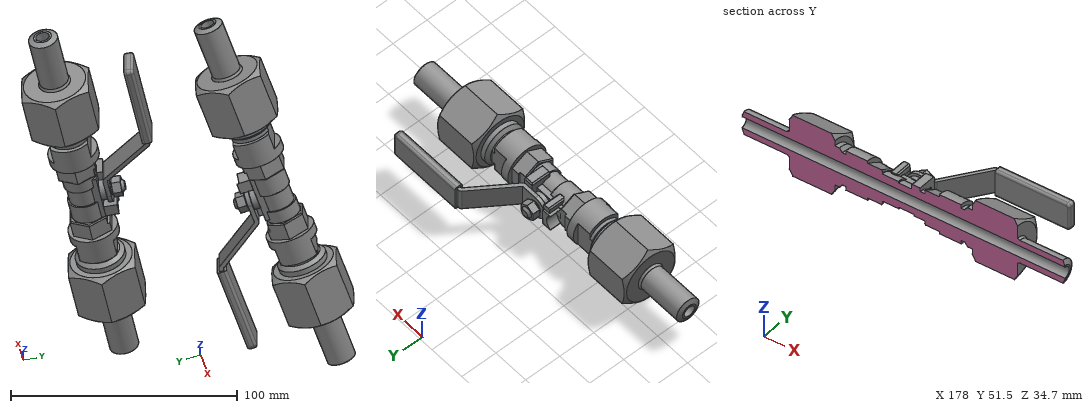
import cadquery as cq
import math


TOTAL_LENGTH = 178.0
END_X = TOTAL_LENGTH / 2
BORE_DIA = 6.0

TUBE_DIA = 13.2
TUBE_TIP_DIA = 8.0
TUBE_TAPER = 1.0
TUBE_FLARE_DIA = 14.5
TUBE_FLARE_LENGTH = 1.2

NUT_CORNERS = 34.7
NUT_OUTER_X = 63.0
NUT_INNER_X = 37.7
NUT_FACE_DIA = 28.1
NUT_CHAMFER_ANGLE = 30.0

FITTING_DIA = 22.5
COLLAR_END_X = 35.2
CONE_END_X = 33.6
NECK_DIA = 18.5
SHANK_OUTER_X = 31.9
FLAT_END_X = 24.0
FLAT_HALF_WIDTH = 8.4
SHANK_INNER_X = 19.8

HEX_CORNERS = 20.0
HEX_INNER_X = 11.5
HEX_CHAMFER = 0.5
BODY_DIA = 15.7
WAIST_DIA = 14.0
WAIST_START_X = -2.7
WAIST_END_X = 5.7
DECK_Y = 7.7
DECK_HALF_LENGTH = 15.5
DECK_BLOCK_END_X = 9.8
DECK_BLOCK_HALF_WIDTH = 5.3

GLAND_DIA = 10.0
STEM_DIA = 6.0
STEM_TIP_DIA = 4.0
STEM_TOP_Y = 18.7
STEM_NUT_CORNERS = 9.3
STEM_NUT_TOP_Y = 17.3
WASHER_DIA = 7.0
WASHER_THICKNESS = 0.7

LUG_START_X = 4.3
LUG_LENGTH = 5.0
LUG_TOP_Z = 9.8
LUG_CHAMFER = 0.7
POST_START_X = -11.5
POST_END_X = -6.4
POST_TOP_Y = 13.7
POST_HALF_WIDTH = 4.8
SCOOP_DEPTH = 2.5
FINGER_START_X = -10.0
FINGER_LENGTH = 4.1
FINGER_BOTTOM_Y = 3.4
FINGER_TOP_Y = 12.8
FINGER_BOTTOM_Z = 4.5
FINGER_TOP_Z = 7.8
FINGER_END_CHAMFER = 0.9
FINGER_EDGE_CHAMFER = 0.7

LEVER_WIDTH = 12.6
LEVER_THICKNESS = 2.0
LEVER_BOTTOM_Y = 10.5
LEVER_TOP_Y = LEVER_BOTTOM_Y + LEVER_THICKNESS
LOWER_BEND_X = 8.9
UPPER_BEND_X = 25.1
BEND_RADIUS = 1.8
ROUNDING_CLEARANCE = 0.02
GRIP_START_X = 26.5
GRIP_END_X = 67.6
GRIP_WIDTH = 14.8
GRIP_THICKNESS = 4.5
GRIP_CORNER_RADIUS = 1.8
GRIP_EDGE_RADIUS = 1.2
OVERALL_Y = 51.5
NUT_HALF_FLATS = NUT_CORNERS / 2 * math.cos(math.radians(30))
GRIP_TOP_Y = OVERALL_Y - NUT_HALF_FLATS
GRIP_MID_Y = GRIP_TOP_Y - GRIP_THICKNESS / 2


def box(x0, x1, y0, y1, z0, z1):
    """Box between two opposite corners."""
    return cq.Workplane("XY").box(x1 - x0, y1 - y0, z1 - z0, centered=False).translate((x0, y0, z0))


def cylinder_x(diameter, x0, x1):
    """Round bar along the flow axis."""
    return cq.Workplane("YZ").workplane(offset=x0).circle(diameter / 2).extrude(x1 - x0)


def cylinder_y(diameter, y0, y1):
    """Round bar along the stem axis."""
    return cq.Workplane("XZ", origin=(0, y0, 0)).circle(diameter / 2).extrude(y0 - y1)


def hexagon_x(corners, x0, x1):
    """Hexagonal bar along the flow axis with corners at +Z and -Z."""
    return (
        cq.Workplane("YZ").workplane(offset=x0)
        .transformed(rotate=(0, 0, 90)).polygon(6, corners).extrude(x1 - x0)
    )


def revolve_about_flow_axis(points):
    """Solid of revolution from (x, radius) points, closed along the flow axis."""
    return cq.Workplane("XY").polyline(points).close().revolve(360, (0, 0, 0), (1, 0, 0))


def make_union_nut():
    """Hexagonal nut with both ends turned to a cone."""
    face_radius = NUT_FACE_DIA / 2
    corner_radius = NUT_CORNERS / 2
    chamfer = (corner_radius - face_radius) * math.tan(math.radians(NUT_CHAMFER_ANGLE))
    turned = revolve_about_flow_axis([
        (NUT_INNER_X, 0),
        (NUT_INNER_X, face_radius),
        (NUT_INNER_X + chamfer, corner_radius),
        (NUT_OUTER_X - chamfer, corner_radius),
        (NUT_OUTER_X, face_radius),
        (NUT_OUTER_X, 0),
    ])
    return hexagon_x(NUT_CORNERS, NUT_INNER_X, NUT_OUTER_X).intersect(turned)


def make_tube():
    """Weld tube with a tapered tip and a short flare where it enters the nut."""
    return revolve_about_flow_axis([
        (NUT_OUTER_X, 0),
        (NUT_OUTER_X, TUBE_FLARE_DIA / 2),
        (NUT_OUTER_X + TUBE_FLARE_LENGTH, TUBE_DIA / 2),
        (END_X - TUBE_TAPER, TUBE_DIA / 2),
        (END_X, TUBE_TIP_DIA / 2),
        (END_X, 0),
    ])


def make_fitting():
    """Turned fitting with a collar, a neck and two wrench flats facing -Y and +Y."""
    outer = FITTING_DIA / 2
    neck = NECK_DIA / 2
    fitting = revolve_about_flow_axis([
        (SHANK_INNER_X, 0),
        (SHANK_INNER_X, outer),
        (SHANK_OUTER_X, outer),
        (SHANK_OUTER_X, neck),
        (CONE_END_X, neck),
        (COLLAR_END_X, outer),
        (NUT_INNER_X, outer),
        (NUT_INNER_X, 0),
    ])
    upper_flat = box(FLAT_END_X, CONE_END_X, FLAT_HALF_WIDTH, FITTING_DIA, -outer, outer)
    return fitting.cut(upper_flat).cut(upper_flat.mirror("XZ"))


def make_end_assembly():
    """Everything on the +X side of the valve: hexagon, fitting, nut and tube."""
    valve_hex = hexagon_x(HEX_CORNERS, HEX_INNER_X, SHANK_INNER_X).faces("<X").chamfer(HEX_CHAMFER)
    milled = box(HEX_INNER_X, DECK_HALF_LENGTH, DECK_Y, HEX_CORNERS, -HEX_CORNERS, HEX_CORNERS)
    return valve_hex.cut(milled).union(make_fitting()).union(make_union_nut()).union(make_tube())


def make_body_core():
    """Round middle of the valve with its waist and the flat deck under the stem."""
    core = cylinder_x(BODY_DIA, -HEX_INNER_X, WAIST_START_X)
    core = core.union(cylinder_x(WAIST_DIA, WAIST_START_X, WAIST_END_X))
    core = core.union(cylinder_x(BODY_DIA, WAIST_END_X, HEX_INNER_X))
    deck = box(
        -HEX_INNER_X, DECK_BLOCK_END_X, 0, DECK_Y, -DECK_BLOCK_HALF_WIDTH, DECK_BLOCK_HALF_WIDTH
    )
    return core.union(deck)


def make_stem():
    """Gland, stem, washer and stem nut; the lever fits between gland and washer."""
    nut_bottom = LEVER_TOP_Y + WASHER_THICKNESS
    stem = cylinder_y(GLAND_DIA, DECK_Y, LEVER_BOTTOM_Y)
    stem = stem.union(cylinder_y(STEM_DIA, LEVER_BOTTOM_Y, STEM_NUT_TOP_Y))
    stem = stem.union(cylinder_y(WASHER_DIA, LEVER_TOP_Y, nut_bottom))
    stem_nut = (
        cq.Workplane("XZ", origin=(0, nut_bottom, 0)).transformed(rotate=(0, 0, 90))
        .polygon(6, STEM_NUT_CORNERS).extrude(nut_bottom - STEM_NUT_TOP_Y)
    )
    tip = (
        cq.Workplane("XY")
        .polyline([
            (0, STEM_NUT_TOP_Y),
            (STEM_DIA / 2, STEM_NUT_TOP_Y),
            (STEM_TIP_DIA / 2, STEM_TOP_Y),
            (0, STEM_TOP_Y),
        ])
        .close().revolve(360, (0, 0, 0), (0, 1, 0))
    )
    return stem.union(stem_nut).union(tip)


def make_stops():
    """Lug on the +X side; scooped post with a finger on the -X side."""
    lug = box(LUG_START_X, LUG_START_X + LUG_LENGTH, 0, LEVER_BOTTOM_Y, 0, LUG_TOP_Z)
    lug = lug.faces(">Z").edges("<X or >Y").chamfer(LUG_CHAMFER)
    post = box(POST_START_X, POST_END_X, DECK_Y, POST_TOP_Y, -POST_HALF_WIDTH, POST_HALF_WIDTH)
    scoop_radius = (POST_HALF_WIDTH**2 + SCOOP_DEPTH**2) / (2 * SCOOP_DEPTH)
    scoop_centre_x = POST_START_X + SCOOP_DEPTH - scoop_radius
    scoop = cylinder_y(2 * scoop_radius, DECK_Y, POST_TOP_Y).translate((scoop_centre_x, 0, 0))
    finger = box(
        FINGER_START_X, FINGER_START_X + FINGER_LENGTH,
        FINGER_BOTTOM_Y, FINGER_TOP_Y, FINGER_BOTTOM_Z, FINGER_TOP_Z,
    )
    finger = finger.faces("<Y").edges("|Z").chamfer(FINGER_END_CHAMFER)
    finger = finger.faces(">Z").edges("|Y").chamfer(FINGER_EDGE_CHAMFER)
    return post.cut(scoop).union(lug).union(finger)


def make_valve():
    """Complete pressure-holding body with its through bore."""
    end_assembly = make_end_assembly()
    valve = make_body_core().union(end_assembly).union(end_assembly.mirror("YZ"))
    valve = valve.union(make_stops()).union(make_stem())
    return valve.cut(cylinder_x(BORE_DIA, -END_X, END_X))


def make_lever():
    """Cranked flat lever, round at the stem, with its grip."""
    half = LEVER_THICKNESS / 2
    low_y = LEVER_BOTTOM_Y + half
    slope = math.atan2(GRIP_MID_Y - low_y, UPPER_BEND_X - LOWER_BEND_X)
    shift = half * math.tan(slope / 2)
    start_x = -LEVER_WIDTH / 2
    strip = (
        cq.Workplane("XY").workplane(offset=-LEVER_WIDTH / 2)
        .polyline([
            (start_x, low_y - half),
            (LOWER_BEND_X + shift, low_y - half),
            (UPPER_BEND_X + shift, GRIP_MID_Y - half),
            (GRIP_START_X, GRIP_MID_Y - half),
            (GRIP_START_X, GRIP_MID_Y + half),
            (UPPER_BEND_X - shift, GRIP_MID_Y + half),
            (LOWER_BEND_X - shift, low_y + half),
            (start_x, low_y + half),
        ])
        .close().extrude(LEVER_WIDTH)
    )
    outer_bends = cq.selectors.BoxSelector(
        (LOWER_BEND_X, 0, -LEVER_WIDTH), (UPPER_BEND_X, OVERALL_Y, LEVER_WIDTH)
    )
    strip = strip.edges("|Z").edges(outer_bends).fillet(BEND_RADIUS)
    strip = strip.edges("|Y and <X").fillet(LEVER_WIDTH / 2 - ROUNDING_CLEARANCE)
    stem_hole = cylinder_y(STEM_DIA, LEVER_BOTTOM_Y, LEVER_TOP_Y)
    return strip.cut(stem_hole).union(make_grip())


def make_grip():
    """Flat grip with rounded corners at its free end and rounded long edges."""
    half_thickness = GRIP_THICKNESS / 2
    grip = box(
        GRIP_START_X, GRIP_END_X, GRIP_MID_Y - half_thickness, GRIP_TOP_Y,
        -GRIP_WIDTH / 2, GRIP_WIDTH / 2,
    )
    grip = grip.faces(">X").edges("|Y").fillet(GRIP_CORNER_RADIUS)
    return grip.faces("<Y or >Y").edges("not <X").fillet(GRIP_EDGE_RADIUS)


valve = make_valve()
lever = make_lever()
result = cq.Compound.makeCompound([valve.val(), lever.val()])